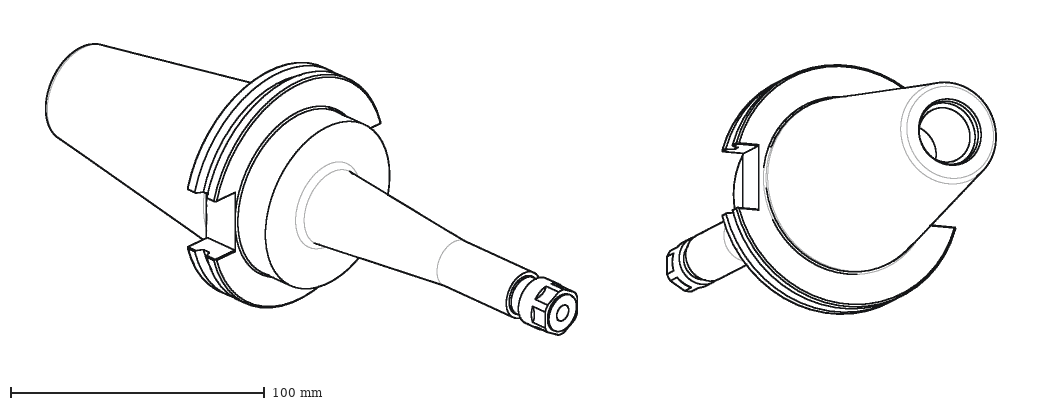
import cadquery as cq
import math

OVERALL_LENGTH = 266.8
GAUGE_LINE = 102.5
FLANGE_START = 104.8
FLANGE_END = 120.8
COLLAR_END = 136.9
NECK_CONE_START = 139.3
NECK_CONE_END = 206.7
SHANK_END = 245.2
NUT_START = 251.8
HEX_START = 259.0
HEX_END = 266.0

TAPER_SMALL_DIAMETER = 40.8
TAPER_LARGE_DIAMETER = 70.0
FLANGE_DIAMETER = 97.5
GROOVE_FLOOR_DIAMETER = 91.2
NECK_ROOT_DIAMETER = 31.5
SHANK_DIAMETER = 19.5
RELIEF_DIAMETER = 15.7
RELIEF_STEP_DIAMETER = 16.3
RELIEF_STEP_LENGTH = 0.8

TAPER_END_RADIUS = 2.0
FLANGE_CHAMFER = 0.8
FLANGE_ROOT_RADIUS = 0.8
NECK_ROOT_RADIUS = NECK_CONE_START - COLLAR_END

GROOVE_CENTER = 112.8
GROOVE_MOUTH_WIDTH = 6.7
GROOVE_FLOOR_WIDTH = 3.2

SLOT_WIDTH = 25.5
SLOT_EDGE_CHAMFER = 0.4
MINUS_Y_SLOT_FLOOR = 35.5
PLUS_Y_SLOT_FLOOR = 37.5

MOUTH_DIAMETER = 26.7
MOUTH_DEPTH = 1.3
PILOT_DIAMETER = 25.3
PILOT_DEPTH = 4.5
THREAD_START = 5.5
THREAD_DIAMETER = 22.0
THREAD_DEPTH = 40.0
THROUGH_DIAMETER = 6.7
DRILL_POINT_ANGLE = 120.0

NUT_DIAMETER = SHANK_DIAMETER
HEX_ACROSS_FLATS = 18.1
NUT_FACE_DIAMETER = 15.5
HEX_CORNER_ANGLE = 30.0
SHOULDER_LENGTH = 1.0


def revolve_about_x(points):
    """Revolve an (x, radius) outline about the X axis."""
    return cq.Workplane("XY").polyline(points).close().revolve(360, (0, 0, 0), (1, 0, 0))


def cylinder(start, end, diameter):
    return cq.Workplane("YZ", origin=(start, 0, 0)).circle(diameter / 2).extrude(end - start)


def make_holder_blank():
    taper_small = TAPER_SMALL_DIAMETER / 2
    taper_large = TAPER_LARGE_DIAMETER / 2
    flange = FLANGE_DIAMETER / 2
    neck_root = NECK_ROOT_DIAMETER / 2
    shank = SHANK_DIAMETER / 2
    outline = (
        cq.Workplane("XY")
        .moveTo(0, 0)
        .lineTo(0, taper_small - TAPER_END_RADIUS)
        .radiusArc((TAPER_END_RADIUS, taper_small), TAPER_END_RADIUS)
        .lineTo(GAUGE_LINE, taper_large)
        .lineTo(FLANGE_START - FLANGE_ROOT_RADIUS, taper_large)
        .radiusArc((FLANGE_START, taper_large + FLANGE_ROOT_RADIUS), -FLANGE_ROOT_RADIUS)
        .lineTo(FLANGE_START, flange - FLANGE_CHAMFER)
        .lineTo(FLANGE_START + FLANGE_CHAMFER, flange)
        .lineTo(FLANGE_END - FLANGE_CHAMFER, flange)
        .lineTo(FLANGE_END, flange - FLANGE_CHAMFER)
        .lineTo(FLANGE_END, taper_large + FLANGE_ROOT_RADIUS)
        .radiusArc((FLANGE_END + FLANGE_ROOT_RADIUS, taper_large), -FLANGE_ROOT_RADIUS)
        .lineTo(COLLAR_END, taper_large)
        .lineTo(COLLAR_END, neck_root + NECK_ROOT_RADIUS)
        .radiusArc((NECK_CONE_START, neck_root), -NECK_ROOT_RADIUS)
        .lineTo(NECK_CONE_END, shank)
        .lineTo(SHANK_END, shank)
        .lineTo(SHANK_END, RELIEF_STEP_DIAMETER / 2)
        .lineTo(SHANK_END + RELIEF_STEP_LENGTH, RELIEF_DIAMETER / 2)
        .lineTo(NUT_START, RELIEF_DIAMETER / 2)
        .lineTo(NUT_START, 0)
        .close()
    )
    return outline.revolve(360, (0, 0, 0), (1, 0, 0))


def make_flange_groove():
    floor = GROOVE_FLOOR_DIAMETER / 2
    mouth = FLANGE_DIAMETER / 2
    return revolve_about_x([
        (GROOVE_CENTER - GROOVE_FLOOR_WIDTH / 2, floor),
        (GROOVE_CENTER - GROOVE_MOUTH_WIDTH / 2, mouth),
        (GROOVE_CENTER + GROOVE_MOUTH_WIDTH / 2, mouth),
        (GROOVE_CENTER + GROOVE_FLOOR_WIDTH / 2, floor),
    ])


def symmetric_prism(plane, origin, upper_edge, length):
    """Extrude the outline between an upper edge and its mirror image below Z = 0."""
    lower_edge = [(along, -height) for along, height in reversed(upper_edge)]
    return cq.Workplane(plane, origin=origin).polyline(upper_edge + lower_edge).close().extrude(length)


def make_drive_slot(floor):
    """Slot open toward +Y, with chamfers along the flange faces and along the rim."""
    rim = FLANGE_DIAMETER / 2
    half = SLOT_WIDTH / 2
    wide = half + SLOT_EDGE_CHAMFER
    mouth = math.sqrt(rim ** 2 - wide ** 2)
    across_faces = [
        (FLANGE_START, wide),
        (FLANGE_START + SLOT_EDGE_CHAMFER, half),
        (FLANGE_END - SLOT_EDGE_CHAMFER, half),
        (FLANGE_END, wide),
    ]
    across_rim = [(floor, half), (mouth - SLOT_EDGE_CHAMFER, half), (mouth, wide), (rim, wide)]
    face_cut = symmetric_prism("XZ", (0, floor, 0), across_faces, floor - rim)
    rim_cut = symmetric_prism("YZ", (FLANGE_START, 0, 0), across_rim, FLANGE_END - FLANGE_START)
    return face_cut.union(rim_cut)


def make_stud_bore():
    pilot = PILOT_DIAMETER / 2
    thread = THREAD_DIAMETER / 2
    point_length = thread / math.tan(math.radians(DRILL_POINT_ANGLE / 2))
    return revolve_about_x([
        (0, 0),
        (0, MOUTH_DIAMETER / 2),
        (MOUTH_DEPTH, pilot),
        (PILOT_DEPTH, pilot),
        (THREAD_START, thread),
        (THREAD_DEPTH, thread),
        (THREAD_DEPTH + point_length, 0),
    ])


def make_holder():
    return (
        make_holder_blank()
        .cut(make_flange_groove())
        .cut(make_drive_slot(MINUS_Y_SLOT_FLOOR).mirror("XZ"))
        .cut(make_drive_slot(PLUS_Y_SLOT_FLOOR))
        .cut(make_stud_bore())
        .cut(cylinder(0, NUT_START, THROUGH_DIAMETER))
    )


def make_nut():
    """Nut with a round collar, a conical shoulder and a hexagon with flats facing -Y and +Y."""
    rim = NUT_DIAMETER / 2
    apothem = HEX_ACROSS_FLATS / 2
    across_corners = HEX_ACROSS_FLATS / math.cos(math.radians(HEX_CORNER_ANGLE))
    collar = revolve_about_x([
        (NUT_START, 0),
        (NUT_START, rim),
        (HEX_START, rim),
        (HEX_START + SHOULDER_LENGTH, apothem),
        (HEX_START + SHOULDER_LENGTH, 0),
    ])
    hexagon = (
        cq.Workplane("YZ", origin=(HEX_START, 0, 0))
        .transformed(rotate=(0, 0, HEX_CORNER_ANGLE))
        .polygon(6, across_corners)
        .extrude(HEX_END - HEX_START)
        .intersect(cylinder(HEX_START, HEX_END, NUT_DIAMETER))
    )
    end_face = cylinder(HEX_END, OVERALL_LENGTH, NUT_FACE_DIAMETER)
    bore = cylinder(NUT_START, OVERALL_LENGTH, THROUGH_DIAMETER)
    return collar.union(hexagon).union(end_face).cut(bore)


holder = make_holder()
nut = make_nut()
result = cq.Compound.makeCompound([holder.val(), nut.val()])